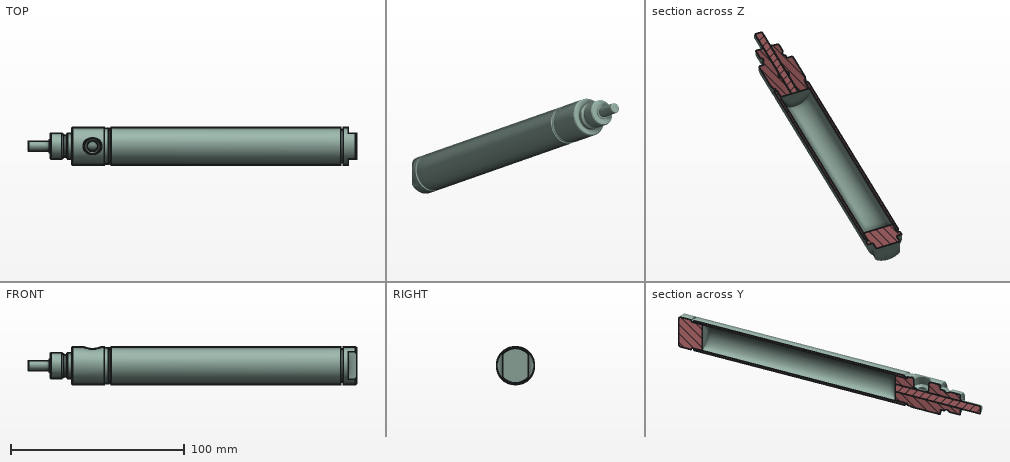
import cadquery as cq
import math

LENGTH = 189.7
BODY_DIAMETER = 21.8

ROD_DIAMETER = 5.9
ROD_CHAMFER = 0.4

COLLAR_START = 12.1
COLLAR_DIAMETER = 7.5
NOSE_START = 12.7
NOSE_DIAMETER = 15.0
NOSE_CHAMFER = 0.5
RELIEF_START = 19.4
RELIEF_END = 23.0
RELIEF_FLOOR_START = 20.7
RELIEF_FLOOR_END = 22.0
RELIEF_DEPTH = 1.1
HEAD_START = 25.2
HEAD_CHAMFER = 0.5
STEP_START = 43.8
STEP_DIAMETER = 20.9
GROOVE_START = 46.3
GROOVE_WIDTH = 1.1
GROOVE_DEPTH = 1.5

TUBE_START = 48.0
TUBE_END = 180.5
TUBE_WALL = 1.7
PLUG_LENGTH = 5.7

CAP_START = 181.7
CAP_NECK_DIAMETER = 19.4
CAP_CHAMFER = 1.0
FLAT_START = 184.8
WIDTH_ACROSS_FLATS = 15.0

PORT_X = 37.2
PORT_MOUTH_DIAMETER = 10.8
PORT_DIAMETER = 9.1
PORT_MOUTH_HALF_ANGLE = 30.0
PORT_SHOULDER_Z = 4.2
PASSAGE_DIAMETER = 6.0
DRILL_POINT_HALF_ANGLE = 59.0

body_radius = BODY_DIAMETER / 2
rod_radius = ROD_DIAMETER / 2
bore_radius = body_radius - TUBE_WALL
plug_end = TUBE_START + PLUG_LENGTH


def revolve_about_x(points):
    """Turn a closed (x, radius) outline into a solid of revolution about X."""
    return cq.Workplane("XY").polyline(points).close().revolve(360, (0, 0, 0), (1, 0, 0))


def port_cutter():
    """Countersunk port with a drill-point floor and a passage down to the rod."""
    mouth_radius = PORT_MOUTH_DIAMETER / 2
    port_radius = PORT_DIAMETER / 2
    passage_radius = PASSAGE_DIAMETER / 2
    mouth_depth = (mouth_radius - port_radius) / math.tan(math.radians(PORT_MOUTH_HALF_ANGLE))
    floor_drop = (port_radius - passage_radius) / math.tan(math.radians(DRILL_POINT_HALF_ANGLE))
    outline = [
        (0, 0),
        (passage_radius, 0),
        (passage_radius, PORT_SHOULDER_Z - floor_drop),
        (port_radius, PORT_SHOULDER_Z),
        (port_radius, body_radius - mouth_depth),
        (mouth_radius, body_radius),
        (0, body_radius),
    ]
    cutter = cq.Workplane("XZ").polyline(outline).close().revolve(360, (0, 0, 0), (0, 1, 0))
    return cutter.translate((PORT_X, 0, 0))


def make_rod():
    """Round rod running through the head, chamfered at its outer tip."""
    rod = cq.Workplane("YZ").circle(rod_radius).extrude(plug_end)
    return rod.faces("<X").chamfer(ROD_CHAMFER)


def make_head():
    """Front head: gland collar, mounting nose, body, and the plug inside the tube."""
    nose_radius = NOSE_DIAMETER / 2
    relief_radius = nose_radius - RELIEF_DEPTH
    collar_radius = COLLAR_DIAMETER / 2
    step_radius = STEP_DIAMETER / 2
    outline = [
        (COLLAR_START, rod_radius),
        (COLLAR_START, collar_radius),
        (NOSE_START, collar_radius),
        (NOSE_START, nose_radius - NOSE_CHAMFER),
        (NOSE_START + NOSE_CHAMFER, nose_radius),
        (RELIEF_START, nose_radius),
        (RELIEF_FLOOR_START, relief_radius),
        (RELIEF_FLOOR_END, relief_radius),
        (RELIEF_END, nose_radius),
        (HEAD_START, nose_radius),
        (HEAD_START, body_radius - HEAD_CHAMFER),
        (HEAD_START + HEAD_CHAMFER, body_radius),
        (STEP_START, body_radius),
        (STEP_START, step_radius),
        (GROOVE_START, step_radius),
        (GROOVE_START, step_radius - GROOVE_DEPTH),
        (GROOVE_START + GROOVE_WIDTH, step_radius),
        (TUBE_START, step_radius),
        (TUBE_START, bore_radius),
        (plug_end, bore_radius),
        (plug_end, rod_radius),
    ]
    return revolve_about_x(outline).cut(port_cutter())


def make_tube():
    """Plain barrel between the head and the cap."""
    outline = [
        (TUBE_START, bore_radius),
        (TUBE_START, body_radius),
        (TUBE_END, body_radius),
        (TUBE_END, bore_radius),
    ]
    return revolve_about_x(outline)


def make_cap():
    """Rear cap: plug, exposed neck, and a body with two wrench flats."""
    outline = [
        (TUBE_END - PLUG_LENGTH, 0),
        (TUBE_END - PLUG_LENGTH, bore_radius),
        (TUBE_END, bore_radius),
        (TUBE_END, CAP_NECK_DIAMETER / 2),
        (CAP_START, CAP_NECK_DIAMETER / 2),
        (CAP_START, body_radius),
        (LENGTH - CAP_CHAMFER, body_radius),
        (LENGTH, body_radius - CAP_CHAMFER),
        (LENGTH, 0),
    ]
    cap = revolve_about_x(outline)
    flat_length = LENGTH - FLAT_START
    flat_depth = (BODY_DIAMETER - WIDTH_ACROSS_FLATS) / 2
    for side in (-1, 1):
        flat = cq.Workplane("XY").box(flat_length, flat_depth, BODY_DIAMETER).translate(
            (FLAT_START + flat_length / 2, side * (WIDTH_ACROSS_FLATS + flat_depth) / 2, 0)
        )
        cap = cap.cut(flat)
    return cap


rod = make_rod()
head = make_head()
tube = make_tube()
cap = make_cap()

result = cq.Compound.makeCompound([rod.val(), head.val(), tube.val(), cap.val()])